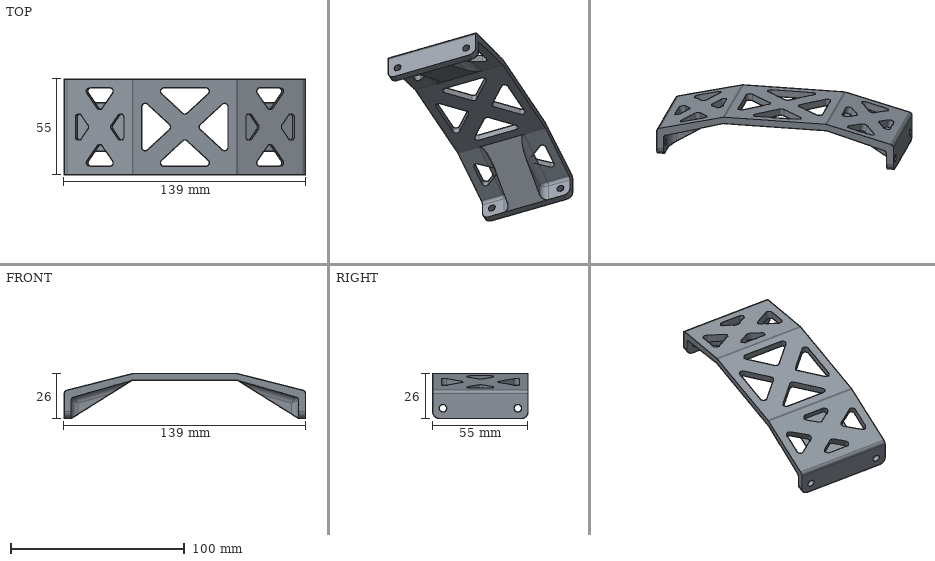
import cadquery as cq
import math

length = 139.0
width = 55.0
height = 26.0
thickness = 4.0
crown_length = 60.0
slope_drop = 10.0
inner_bend_shift = 0.4
bend_radius = 2.1

foot_radius = 4.0
hole_diameter = 4.2
hole_spacing = 43.1
hole_height = 6.0

frame_border = 5.0
brace_width = 10.0
window_radius = 2.0

gusset_width = 20.0
gusset_fillet = 4.0

half_length = length / 2
half_crown = crown_length / 2
corner_z = height - slope_drop
flange_x = half_length - thickness
inner_corner_z = corner_z - thickness
inner_bend_x = half_crown + inner_bend_shift
underside_z = height - thickness

inner_corner = (flange_x, inner_corner_z)
flange_foot = (flange_x, 0)
inner_bend = (inner_bend_x, underside_z)

slope_angle = math.atan2(slope_drop, half_length - half_crown)
bend_setback = bend_radius * math.tan(slope_angle / 2)
corner_setback = bend_radius * math.tan((math.pi / 2 - slope_angle) / 2)
slope_length = math.hypot(half_length - half_crown, slope_drop)
panel_length = slope_length - bend_setback - corner_setback


def prism(outline, depth):
    """Solid with an XZ outline, extruded symmetrically about Y = 0."""
    return cq.Workplane("XZ").polyline(outline).close().extrude(depth / 2, both=True)


def bent_plate():
    """Crown, two sloped panels and two flanges, with the inner corners still sharp."""
    right_side = [
        (half_crown, height),
        (half_length, corner_z),
        (half_length, 0),
        flange_foot,
        inner_corner,
        inner_bend,
    ]
    left_side = [(-x, z) for x, z in reversed(right_side)]
    plate = prism(right_side + left_side, width)
    for x, z in ((half_crown, height), (half_length, corner_z)):
        for side in (-1, 1):
            bend_line = cq.selectors.NearestToPointSelector((side * x, 0, z))
            plate = plate.edges("|Y").edges(bend_line).fillet(bend_radius)
    return plate.edges("|X and <Z").fillet(foot_radius)


def face_plane(side):
    """Plane centred on the crown (side 0) or on the left (-1) or right (1) sloped panel."""
    tilt = side * slope_angle
    along = bend_setback + panel_length / 2
    return cq.Plane(
        origin=(
            side * (half_crown + along * math.cos(slope_angle)),
            0,
            height - abs(side) * along * math.sin(slope_angle),
        ),
        xDir=(math.cos(tilt), 0, -math.sin(tilt)),
        normal=(math.sin(tilt), 0, math.cos(tilt)),
    )


def truss_windows(plane, face_length):
    """Cutter with four triangular windows left between braces along the face diagonals."""
    reach = 2 * thickness
    sheet = cq.Workplane(plane).workplane(offset=-reach)
    cutter = sheet.rect(face_length - 2 * frame_border, width - 2 * frame_border).extrude(2 * reach)
    diagonal = math.hypot(face_length, width)
    diagonal_angle = math.degrees(math.atan2(width, face_length))
    for angle in (-diagonal_angle, diagonal_angle):
        turned_sheet = sheet.transformed(rotate=(0, 0, angle))
        cutter = cutter.cut(turned_sheet.rect(diagonal, brace_width).extrude(2 * reach))
    return cutter.edges(cq.selectors.ParallelDirSelector(plane.zDir)).fillet(window_radius)


def gusset():
    """Right-hand wedge from flange foot to bend, with its side blends and the rounded corner.

    The blends are made on a block and walls that run past the wedge, then trimmed to it.
    """
    panel_run = flange_x - inner_bend_x
    panel_rise = underside_z - inner_corner_z
    overrun = 2
    panel_end = (flange_x - overrun * panel_run, inner_corner_z + overrun * panel_rise)
    flange_end = (flange_x, inner_corner_z - overrun * panel_run)
    block_corner = (panel_end[0], flange_end[1])
    top_z = panel_end[1] + thickness
    walls = prism(
        [
            inner_corner,
            panel_end,
            (panel_end[0], top_z),
            (half_length, top_z),
            (half_length, flange_end[1]),
            flange_end,
        ],
        width,
    )
    blank = walls.union(prism([inner_corner, panel_end, block_corner, flange_end], gusset_width))

    root_edges = cq.Workplane()
    for y in (-gusset_width / 2, gusset_width / 2):
        for end_x, end_z in (panel_end, flange_end):
            middle = ((flange_x + end_x) / 2, y, (inner_corner_z + end_z) / 2)
            root_edges = root_edges.add(blank.edges(cq.selectors.NearestToPointSelector(middle)))
    blank = blank.newObject(root_edges.vals()).fillet(gusset_fillet)

    corner_edges = cq.Workplane()
    for y in (-width / 2, width / 2):
        corner_end = cq.selectors.NearestToPointSelector((flange_x, y, inner_corner_z))
        corner_edges = corner_edges.add(blank.edges("|Y").edges(corner_end))
    blank = blank.newObject(corner_edges.vals()).fillet(bend_radius)

    return blank.intersect(prism([flange_foot, inner_bend, inner_corner], width))


def screw_holes():
    """Pair of holes running along X through both flanges."""
    return (
        cq.Workplane("YZ", origin=(-half_length, 0, hole_height))
        .rarray(hole_spacing, 1.4, 2, 1)
        .circle(hole_diameter / 2)
        .extrude(length)
    )


result = bent_plate().cut(truss_windows(face_plane(0), crown_length - 2 * bend_setback))
for side in (-1, 1):
    result = result.cut(truss_windows(face_plane(side), panel_length))

right_gusset = gusset()
result = result.union(right_gusset).union(right_gusset.mirror("YZ")).cut(screw_holes())